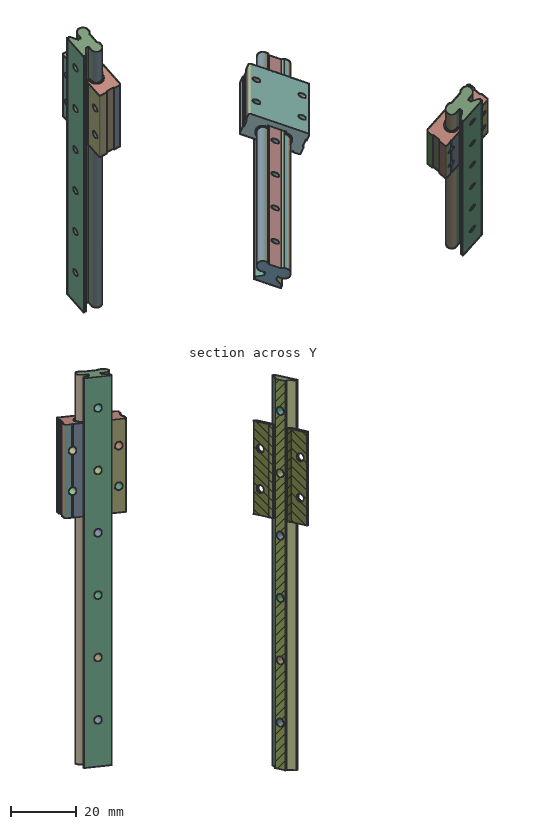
import cadquery as cq


rail_length = 125.0
base_half_width = 4.5
base_side_height = 0.9
neck_half_width = 2.0
flare_top = 2.45
side_mark_height = 0.45
side_mark_width = 0.4
side_mark_depth = 0.3
wing_radius = 1.85
wing_center_x = 3.6
wing_center_y = 5.3
recess_top_half_width = 2.7
recess_floor_half_width = 2.0
recess_floor = 6.6
rail_hole_diameter = 2.5
rail_hole_count = 6
rail_hole_pitch = 20.0
first_hole_height = 15.0

carriage_length = 30.0
carriage_center_height = 95.0
carriage_half_width = 10.0
carriage_front = 2.1
carriage_back = 10.0
back_edge_radius = 0.6
front_edge_radius = 0.4
mount_hole_diameter = 2.5
mount_pitch_x = 15.0
mount_pitch_z = 13.0
side_groove_depth = 0.35
side_groove_top = 7.5
side_groove_bottom = 4.8
side_groove_slope = 0.3
relief_half_width = 2.95
relief_top = 8.1
mouth_half_width = 2.65
mouth_chamfer_top = 2.5
mouth_half_width_front = 3.8
front_mark_width = 0.5
front_mark_depth = 0.3

liner_thickness = 0.5
liner_outer_radius = wing_radius + liner_thickness

wing_bottom = wing_center_y - wing_radius
wing_top = wing_center_y + wing_radius
carriage_bottom_height = carriage_center_height - carriage_length / 2


def profile_plane(height):
    """Horizontal plane at a height, for cross-sections that run along Z."""
    return cq.Workplane("XY").workplane(offset=height)


def front_holes(points, diameter):
    """Holes running along Y through everything, at (x, z) points."""
    return (
        cq.Workplane("XZ", origin=(0, carriage_back, 0))
        .pushPoints(points)
        .circle(diameter / 2)
        .extrude(carriage_back)
    )


def make_rail():
    """Flared base, narrow neck and two round wings with a recess between them."""
    outline = (
        profile_plane(0)
        .moveTo(-base_half_width, 0)
        .lineTo(base_half_width, 0)
        .lineTo(base_half_width, base_side_height)
        .lineTo(neck_half_width, flare_top)
        .lineTo(neck_half_width, wing_bottom)
        .lineTo(wing_center_x, wing_bottom)
        .threePointArc((wing_center_x + wing_radius, wing_center_y), (wing_center_x, wing_top))
        .lineTo(recess_top_half_width, wing_top)
        .lineTo(recess_floor_half_width, recess_floor)
        .lineTo(-recess_floor_half_width, recess_floor)
        .lineTo(-recess_top_half_width, wing_top)
        .lineTo(-wing_center_x, wing_top)
        .threePointArc((-wing_center_x - wing_radius, wing_center_y), (-wing_center_x, wing_bottom))
        .lineTo(-neck_half_width, wing_bottom)
        .lineTo(-neck_half_width, flare_top)
        .lineTo(-base_half_width, base_side_height)
        .close()
    )
    points = [(0, first_hole_height + i * rail_hole_pitch) for i in range(rail_hole_count)]
    body = outline.extrude(rail_length).cut(front_holes(points, rail_hole_diameter))
    for side in (-1, 1):
        edge = side * base_half_width
        mark = [
            (edge, side_mark_height - side_mark_width / 2),
            (edge - side * side_mark_depth, side_mark_height),
            (edge, side_mark_height + side_mark_width / 2),
        ]
        body = body.cut(profile_plane(0).polyline(mark).close().extrude(rail_length))
    return body


def wing_pocket(radius):
    """Round-ended channel along Z, concentric with the two wings of the rail."""
    return (
        profile_plane(carriage_bottom_height)
        .center(0, wing_center_y)
        .slot2D(2 * (wing_center_x + radius), 2 * radius)
        .extrude(carriage_length)
    )


def carriage_slice(points):
    return profile_plane(carriage_bottom_height).polyline(points).close().extrude(carriage_length)


def carriage_box(x_min, x_max, y_min, y_max):
    return carriage_slice([(x_min, y_min), (x_max, y_min), (x_max, y_max), (x_min, y_max)])


def make_opening():
    """Relief behind the rail and the mouth around its neck."""
    relief = carriage_box(-relief_half_width, relief_half_width, wing_center_y, relief_top)
    mouth = carriage_slice(
        [
            (-mouth_half_width_front, carriage_front),
            (mouth_half_width_front, carriage_front),
            (mouth_half_width, mouth_chamfer_top),
            (mouth_half_width, wing_center_y),
            (-mouth_half_width, wing_center_y),
            (-mouth_half_width, mouth_chamfer_top),
        ]
    )
    return relief.union(mouth)


def make_carriage(opening):
    """Block around the rail's wings, with four mounting holes."""
    body = carriage_box(-carriage_half_width, carriage_half_width, carriage_front, carriage_back)
    body = body.edges("|Z and >Y").fillet(back_edge_radius)
    body = body.edges("|Z and <Y").fillet(front_edge_radius)
    body = body.cut(wing_pocket(liner_outer_radius)).cut(opening)
    for side in (-1, 1):
        groove_floor = side * (carriage_half_width - side_groove_depth)
        body = body.cut(
            carriage_slice(
                [
                    (side * carriage_half_width, side_groove_top),
                    (groove_floor, side_groove_top),
                    (groove_floor, side_groove_bottom + side_groove_slope),
                    (side * carriage_half_width, side_groove_bottom),
                ]
            )
        )
    mark_x = -mount_pitch_x / 2
    body = body.cut(
        carriage_slice(
            [
                (mark_x - front_mark_width / 2, carriage_front),
                (mark_x + front_mark_width / 2, carriage_front),
                (mark_x, carriage_front + front_mark_depth),
            ]
        )
    )
    points = [
        (side * mount_pitch_x / 2, carriage_center_height + end * mount_pitch_z / 2)
        for side in (-1, 1)
        for end in (-1, 1)
    ]
    return body.cut(front_holes(points, mount_hole_diameter))


def make_liner(side, opening):
    """C-shaped bearing strip around one wing of the rail."""
    sleeve = wing_pocket(liner_outer_radius).cut(wing_pocket(wing_radius)).cut(opening)
    half = carriage_box(0, side * carriage_half_width, carriage_front, carriage_back)
    return sleeve.intersect(half)


opening = make_opening()
rail = make_rail()
carriage = make_carriage(opening)
liners = [make_liner(side, opening) for side in (-1, 1)]

result = cq.Compound.makeCompound(
    [rail.val(), carriage.val(), *[liner.solids().val() for liner in liners]]
)